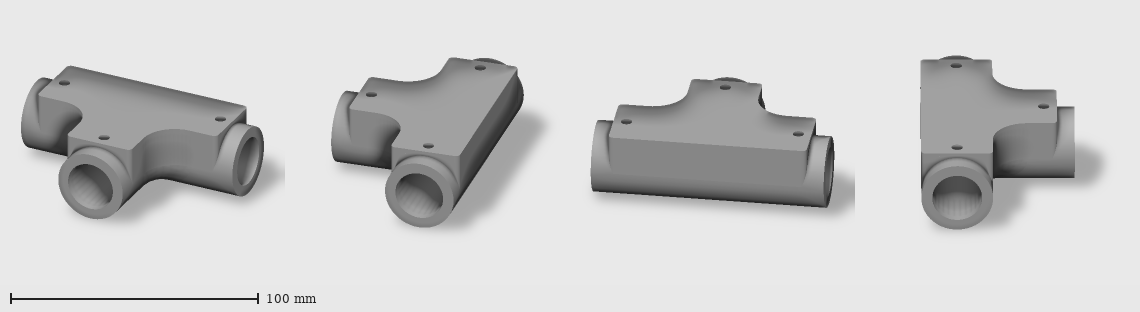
import cadquery as cq


run_half_length = 47.5
pipe_radius = 14.49
overall_depth = 62.0
branch_length = overall_depth - pipe_radius

box_reach = 40.4
box_corner_radius = 1.9
crotch_radius = 14.0
box_top = pipe_radius

gasket_thickness = 0.8
lid_thickness = 1.2
lid_bottom = box_top + gasket_thickness
lid_top = lid_bottom + lid_thickness

mouth_radius = 10.1
socket_depth = 18.05
run_bore_radius = 9.7
branch_inner_radius = 8.6

cavity_half_width = mouth_radius
cavity_reach = run_half_length - socket_depth
cavity_floor = -0.6

screw_reach = 35.1
head_hole_diameter = 4.6
screw_hole_diameter = 3.2
screw_points = [(-screw_reach, 0), (screw_reach, 0), (0, -screw_reach)]

selection_margin = 0.95
crotch_zone = cq.selectors.BoxSelector(
    (-pipe_radius - selection_margin, -pipe_radius - selection_margin, 0),
    (pipe_radius + selection_margin, -pipe_radius + selection_margin, lid_top),
)
upright_edges = cq.selectors.ParallelDirSelector(cq.Vector(0, 0, 1))


def tee_prism(half_width, reach, bottom, top):
    """Upright T-shaped prism with two arms along X and a leg along -Y."""
    outline = [
        (-reach, half_width),
        (reach, half_width),
        (reach, -half_width),
        (half_width, -half_width),
        (half_width, -reach),
        (-half_width, -reach),
        (-half_width, -half_width),
        (-reach, -half_width),
    ]
    return cq.Workplane("XY", origin=(0, 0, bottom)).polyline(outline).close().extrude(top - bottom)


def rounded_box(bottom, top):
    """Slice of the box with its end corners rounded and its crotch corners still sharp."""
    prism = tee_prism(pipe_radius, box_reach, bottom, top)
    return prism.edges(upright_edges - crotch_zone).fillet(box_corner_radius)


def blend_crotch(body):
    """Round the two corners between the run and the branch."""
    return body.edges(upright_edges).edges(crotch_zone).fillet(crotch_radius)


def screw_holes(diameter, bottom, top):
    plane = cq.Workplane("XY", origin=(0, 0, bottom))
    return plane.pushPoints(screw_points).circle(diameter / 2).extrude(top - bottom)


def run_bore():
    """Bore along X: a tapered socket at each end and a straight stretch between them."""
    profile = [
        (-run_half_length, 0),
        (-run_half_length, mouth_radius),
        (-cavity_reach, run_bore_radius),
        (cavity_reach, run_bore_radius),
        (run_half_length, mouth_radius),
        (run_half_length, 0),
    ]
    return cq.Workplane("XY").polyline(profile).close().revolve(360, (0, 0, 0), (1, 0, 0))


def branch_bore():
    """Bore along Y, tapering all the way from the branch mouth to the run axis."""
    mouth = cq.Vector(0, -branch_length, 0)
    inward = cq.Vector(0, 1, 0)
    cone = cq.Solid.makeCone(mouth_radius, branch_inner_radius, branch_length, mouth, inward)
    return cq.Workplane(cone)


def make_housing():
    run = cq.Workplane("YZ").circle(pipe_radius).extrude(run_half_length, both=True)
    branch = cq.Workplane("XZ").circle(pipe_radius).extrude(branch_length)
    body = run.union(branch).union(rounded_box(0, box_top))
    body = blend_crotch(body)
    body = body.cut(run_bore()).cut(branch_bore())
    body = body.cut(tee_prism(cavity_half_width, cavity_reach, cavity_floor, box_top))
    return body.cut(screw_holes(screw_hole_diameter, 0, box_top)).solids()


def make_plate(bottom, top):
    """Flat plate with the outline of the box and three screw holes."""
    plate = blend_crotch(rounded_box(bottom, top))
    return plate.cut(screw_holes(head_hole_diameter, bottom, top)).solids()


housing = make_housing()
gasket = make_plate(box_top, lid_bottom)
lid = make_plate(lid_bottom, lid_top)

result = cq.Compound.makeCompound([housing.val(), gasket.val(), lid.val()])